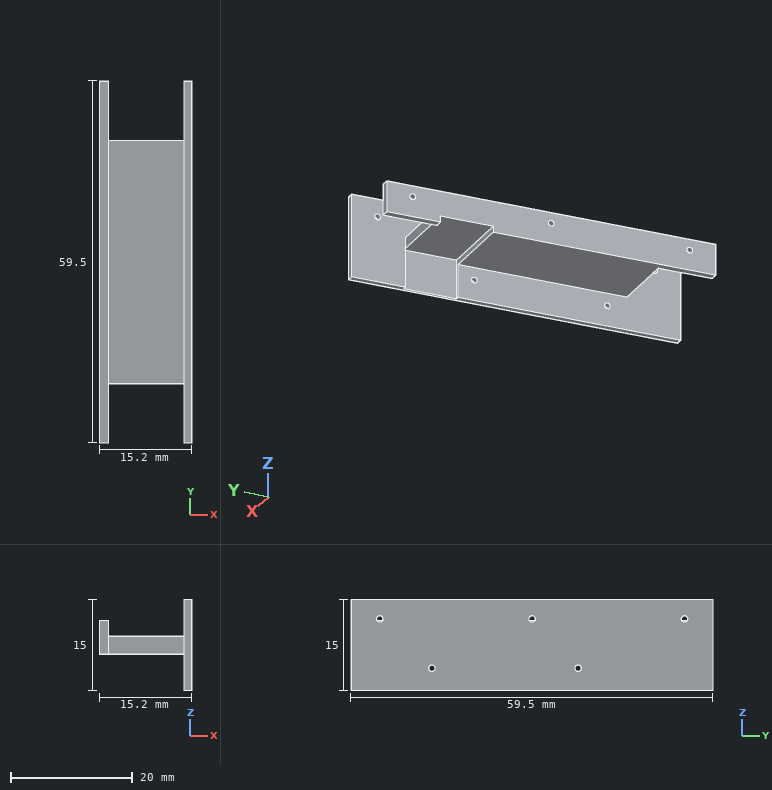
import cadquery as cq

length = 59.5
width = 15.2
height = 15.0

plate_thickness = 1.3
plate_inner_x = width / 2 - plate_thickness

rail_thickness = 1.5
rail_height = 5.6
rail_outer_x = -width / 2

deck_length = 40.05
deck_thickness = 3.05
deck_bottom_z = 5.95 - height / 2

relief_length = 9.5
relief_height = 7.0
relief_plate_depth = plate_thickness / 2
relief_start_y = deck_length / 2 - relief_length

hole_diameter = 1.0
end_hole_y = 25.05
upper_hole_ys = (-end_hole_y, 0, end_hole_y)
rail_hole_height = 9.6
plate_upper_hole_height = 11.8
plate_lower_hole_height = 3.7
lower_hole_pitch = 24.05
lower_hole_center_y = -4.45
lower_hole_ys = (
    lower_hole_center_y - lower_hole_pitch / 2,
    lower_hole_center_y + lower_hole_pitch / 2,
)


def box_from(x, y, z, size_x, size_y, size_z):
    """Box whose minimum corner is at (x, y, z)."""
    return cq.Workplane("XY").box(size_x, size_y, size_z, centered=False).translate((x, y, z))


def hole_row(start_x, depth, y_positions, height_above_bottom):
    """Row of round cutters along +X, all at one height."""
    z = height_above_bottom - height / 2
    return (
        cq.Workplane("YZ", origin=(start_x, 0, 0))
        .pushPoints([(y, z) for y in y_positions])
        .circle(hole_diameter / 2)
        .extrude(depth)
    )


plate = box_from(plate_inner_x, -length / 2, -height / 2, plate_thickness, length, height)
rail = box_from(rail_outer_x, -length / 2, deck_bottom_z, rail_thickness, length, rail_height)
deck = box_from(
    rail_outer_x + rail_thickness, -deck_length / 2, deck_bottom_z,
    width - rail_thickness - plate_thickness, deck_length, deck_thickness,
)

relief = box_from(
    rail_outer_x, relief_start_y, -height / 2,
    width - plate_thickness + relief_plate_depth, relief_length, relief_height,
)

rail_holes = hole_row(rail_outer_x, rail_thickness, upper_hole_ys, rail_hole_height)
plate_upper_holes = hole_row(plate_inner_x, plate_thickness, upper_hole_ys, plate_upper_hole_height)
plate_lower_holes = hole_row(plate_inner_x, plate_thickness, lower_hole_ys, plate_lower_hole_height)

result = plate.union(rail).union(deck).cut(relief)
for holes in (rail_holes, plate_upper_holes, plate_lower_holes):
    result = result.cut(holes)